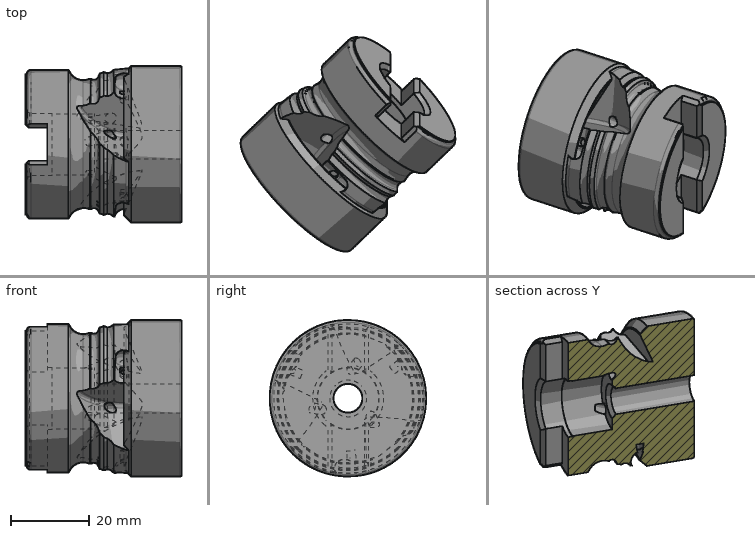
import cadquery as cq
import math

length = 40.05
flange_radius = 20.0
flange_start = 25.23
flange_chamfer = 1.9
lip_radius = 17.75
undercut_end = 29.83
undercut_radius = 6.8
rear_edge_radius = 0.6

head_radius = 19.0
head_end = 11.05
face_radius = 17.95
face_rim_radius = 18.0
face_rim_end = 0.35
face_edge_start = (0.52, 18.38)
face_edge_middle = (0.8, 18.75)
face_edge_end = 1.45

waist_start = (11.55, 18.25)
waist_flank = (12.8, 16.98)
waist_bottom = (14.77, 16.4)
waist_rise = (15.65, 16.5)
ring_radius = 16.78
ring_start = 16.55
ring_end = 16.8
small_groove_bottom = (17.8, 16.55)
small_groove_end = (18.75, 17.4)
step_corner = (19.0, 18.05)
step_middle = (19.58, 18.2)
step_crest = (20.15, 18.45)
dip_bottom = (20.95, 18.18)
dip_flank = (21.8, 18.38)
shoulder_start = (22.6, 19.05)
shoulder_radius = 19.38
shoulder_cone_end = 25.75
core_end = undercut_end + 0.6

bore_radius = 7.93
bore_depth = 17.6
bore_chamfer = 1.12
inner_bore_radius = 7.8
inner_bore_start = 6.8
hole_radius = 3.65
hole_chamfer = 1.05

slot_width = 8.33
slot_depth = 5.6
slot_chamfer = 1.05
clearance = 0.4

pocket_count = 3
pocket_pitch = 360 / pocket_count
pocket_turn = 30.0
pocket_tilt = 8.7
pocket_radius = 18.85
pocket_center = (29.75, 23.6)
pocket_floor = 4.85
pocket_edge_radius = 1.0
pocket_height = 24.02

groove_radius = 2.4
groove_tip = (flange_start, 16.0, 8.0)
groove_mouth = (flange_start, 13.77, 13.6)
groove_run = 10.0

pit_radius = 1.12
pit_bottom = (flange_start, 11.2, 7.2)
pit_mouth = (flange_start, 13.0, 8.6)
pit_run = 4.0

coolant_radius = 1.32
coolant_inner = (bore_depth, 1.12, 7.5)
coolant_outer = (22.0, 2.55, 9.25)
coolant_overrun = 2.0


def revolve_about_x(profile):
    """Spin an X-radius outline about the X axis."""
    return profile.close().revolve(360, (0, 0, 0), (1, 0, 0))


def turn_about_x(shape, degrees):
    return shape.rotate((0, 0, 0), (1, 0, 0), degrees)


def cut_at_each_pocket(body, tool):
    """Cut the tool from the body at every pocket position."""
    for index in range(pocket_count):
        body = body.cut(turn_about_x(tool, index * pocket_pitch))
    return body


def make_rod(start, toward, radius, run):
    """Round bar that starts at one point and heads toward another."""
    origin = cq.Vector(*start)
    direction = cq.Vector(*toward) - origin
    return cq.Workplane(obj=cq.Solid.makeCylinder(radius, run, origin, direction))


def make_neck():
    """Head, grooved waist and shoulder, with the core reaching into the flange."""
    profile = (
        cq.Workplane("XY")
        .lineTo(0, face_radius)
        .lineTo(face_rim_end, face_rim_radius)
        .lineTo(*face_edge_start)
        .threePointArc(face_edge_middle, (face_edge_end, head_radius))
        .lineTo(head_end, head_radius)
        .lineTo(*waist_start)
        .threePointArc(waist_flank, waist_bottom)
        .threePointArc(waist_rise, (ring_start, ring_radius))
        .lineTo(ring_end, ring_radius)
        .threePointArc(small_groove_bottom, small_groove_end)
        .lineTo(*step_corner)
        .threePointArc(step_middle, step_crest)
        .lineTo(*dip_bottom)
        .threePointArc(dip_flank, shoulder_start)
        .lineTo(shoulder_cone_end, shoulder_radius)
        .lineTo(core_end, shoulder_radius)
        .lineTo(core_end, 0)
    )
    return revolve_about_x(profile)


def make_flange():
    profile = (
        cq.Workplane("XY")
        .moveTo(undercut_end, 0)
        .lineTo(undercut_end, undercut_radius)
        .lineTo(flange_start, lip_radius)
        .lineTo(flange_start, flange_radius - flange_chamfer)
        .lineTo(flange_start + flange_chamfer, flange_radius)
        .lineTo(length, flange_radius)
        .lineTo(length, 0)
    )
    return revolve_about_x(profile).faces(">X").edges().fillet(rear_edge_radius)


def make_pocket_cutter():
    """Disc with a rounded lower edge, tilted about the front of the flange."""
    disc = (
        cq.Workplane("XY", origin=(*pocket_center, pocket_floor))
        .circle(pocket_radius)
        .extrude(pocket_height)
        .faces("<Z")
        .edges()
        .fillet(pocket_edge_radius)
    )
    hinge_start = (flange_start, 0, pocket_floor)
    hinge_end = (flange_start, 1, pocket_floor)
    return turn_about_x(disc.rotate(hinge_start, hinge_end, pocket_tilt), pocket_turn)


def make_groove_ball():
    """Ball that rounds the closed end of the groove, with its poles along Y."""
    poles = cq.Vector(0, 1, 0)
    ball = cq.Solid.makeSphere(groove_radius, cq.Vector(*groove_tip), poles, -90, 90, 360)
    return cq.Workplane(obj=ball)


def make_coolant_hole():
    """Drill from outside the pocket, inward past the corner of the bore."""
    inner = cq.Vector(*coolant_inner)
    outer = cq.Vector(*coolant_outer)
    overrun = (outer - inner).normalized() * coolant_overrun
    start = outer + overrun
    end = inner - overrun
    return make_rod(start.toTuple(), end.toTuple(), coolant_radius, (end - start).Length)


def make_bore():
    profile = (
        cq.Workplane("XY")
        .lineTo(0, bore_radius + bore_chamfer)
        .lineTo(bore_chamfer, bore_radius)
        .lineTo(inner_bore_start, bore_radius)
        .lineTo(inner_bore_start, inner_bore_radius)
        .lineTo(bore_depth, inner_bore_radius)
        .lineTo(bore_depth, hole_radius + hole_chamfer)
        .lineTo(bore_depth + hole_chamfer, hole_radius)
        .lineTo(length, hole_radius)
        .lineTo(length, 0)
    )
    return revolve_about_x(profile)


def make_slot():
    """Slot along Z with bevelled edges on the front face."""
    half = slot_width / 2
    wide = half + slot_chamfer
    return (
        cq.Workplane("XY")
        .moveTo(0, -wide)
        .lineTo(slot_chamfer, -half)
        .lineTo(slot_depth, -half)
        .lineTo(slot_depth, half)
        .lineTo(slot_chamfer, half)
        .lineTo(0, wide)
        .close()
        .extrude(head_radius + clearance, both=True)
    )


def make_slot_end_bevel():
    """Bevel on the slot walls where they meet the outside of the head."""
    half = slot_width / 2
    rim = math.sqrt(head_radius ** 2 - (half + slot_chamfer) ** 2)
    bottom = rim - slot_chamfer
    top = head_radius + clearance
    wide = half + top - bottom
    return (
        cq.Workplane("YZ")
        .moveTo(-half, bottom)
        .lineTo(half, bottom)
        .lineTo(wide, top)
        .lineTo(-wide, top)
        .close()
        .extrude(slot_depth)
    )


result = make_neck()
result = cut_at_each_pocket(result, make_pocket_cutter())
result = cut_at_each_pocket(result, make_groove_ball())
result = cut_at_each_pocket(result, make_rod(groove_tip, groove_mouth, groove_radius, groove_run))
result = cut_at_each_pocket(result, make_rod(pit_bottom, pit_mouth, pit_radius, pit_run))
result = result.union(make_flange())

result = result.cut(make_bore())
result = result.cut(make_slot())
for end_turn in (0, 180):
    result = result.cut(turn_about_x(make_slot_end_bevel(), end_turn))
result = cut_at_each_pocket(result, make_coolant_hole())